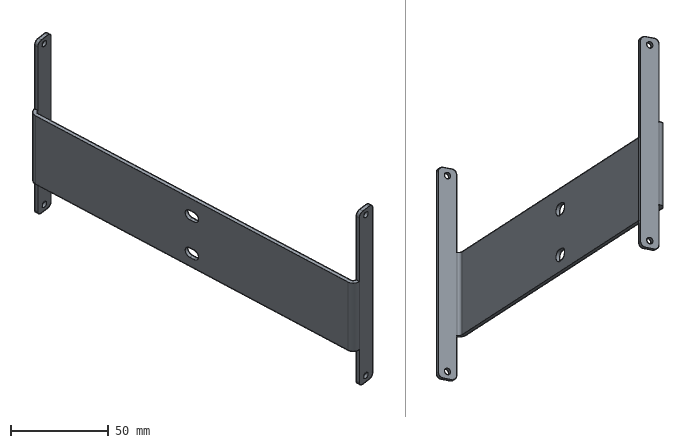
import cadquery as cq

length = 217.0
depth = 15.0
height = 116.0
thickness = 2.2
bend_outer_radius = 4.1
bend_inner_radius = bend_outer_radius - thickness

plate_bottom = 25.0
plate_height = 45.8

corner_radius = 2.8
strip_width = depth - bend_outer_radius
strip_center_y = bend_outer_radius + strip_width / 2
hole_diameter = 3.5
hole_end_distance = 4.1

slot_length = 9.0
slot_width = 6.3
slot_spacing = 25.2
lower_slot_height = 9.1


def block(x_size, y_size, z_size, x, y, z):
    """Box centred on x, starting at y and z."""
    box = cq.Workplane("XY").box(x_size, y_size, z_size, centered=(True, False, False))
    return box.translate((x, y, z))


def bent_plate():
    """U-shaped sheet with rounded bends, as tall as the cross plate."""
    outer = block(length, depth, plate_height, 0, 0, plate_bottom)
    outer = outer.faces("<Y").edges("|Z").fillet(bend_outer_radius)
    inner = block(length - 2 * thickness, depth, plate_height, 0, thickness, plate_bottom)
    inner = inner.faces("<Y").edges("|Z").fillet(bend_inner_radius)
    return outer.cut(inner)


def upright_strip(side):
    """Rounded strip with a hole near each end; side is -1 or 1."""
    center_x = side * (length - thickness) / 2
    strip = block(thickness, strip_width, height, center_x, bend_outer_radius, 0)
    strip = strip.edges("|X").fillet(corner_radius)
    hole_heights = (hole_end_distance, height - hole_end_distance)
    holes = (
        cq.Workplane("YZ", origin=(center_x, 0, 0))
        .pushPoints([(strip_center_y, z) for z in hole_heights])
        .circle(hole_diameter / 2)
        .extrude(thickness, both=True)
    )
    return strip.cut(holes)


def slot_cutters():
    """Two slots, one above the other, passing through the cross plate."""
    lower_slot_z = plate_bottom + lower_slot_height
    return (
        cq.Workplane("XZ")
        .pushPoints([(0, lower_slot_z), (0, lower_slot_z + slot_spacing)])
        .slot2D(slot_length, slot_width)
        .extrude(-thickness)
    )


result = bent_plate().cut(slot_cutters())
for side in (-1, 1):
    result = result.union(upright_strip(side))